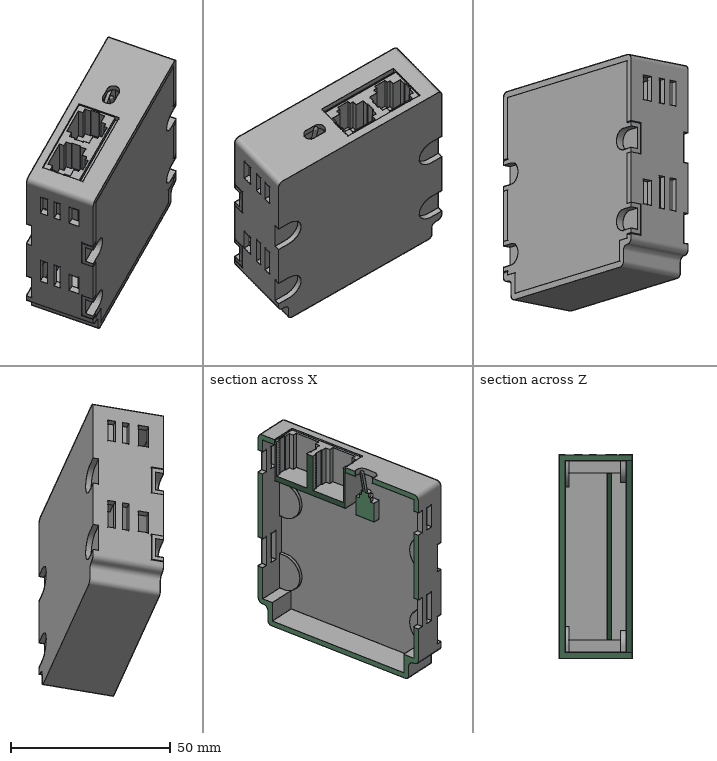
import cadquery as cq
import math


WIDTH = 23.0
LENGTH = 64.1
HEIGHT = 68.3
WALL = 2.0
TOP_RADIUS = 1.85
FOOT_HEIGHT = 6.7
FOOT_INSET = 3.85
FOOT_RADIUS = 1.6
STEP_OUTER_RADIUS = 1.8
STEP_INNER_RADIUS = 1.65
HALF_LENGTH = LENGTH / 2
FOOT_HALF_LENGTH = HALF_LENGTH - FOOT_INSET

GRIP_HEIGHT = 9.85
GRIP_REACH = 8.8
GRIP_DEPTH = 1.8
GRIP_BACKING = 1.3
LOWER_GRIP_Z = 15.0
GRIP_PITCH = 26.2
UPPER_GRIP_Z = LOWER_GRIP_Z + GRIP_PITCH
GRIPS = [(end, z) for end in (-1, 1) for z in (LOWER_GRIP_Z, UPPER_GRIP_Z)]

TAB_THICKNESS = 3.8
TAB_CLEARANCE = 0.3
TAB_POCKET_HEIGHT = 6.9
TAB_POCKET_DEPTH = 2.6
COVER_THICKNESS = WALL
TAB_X = WIDTH - TAB_THICKNESS
COVER_X = WIDTH - COVER_THICKNESS

LEFT_VENT = (4.8, 7.25)
MIDDLE_VENT = (9.6, 11.65)
RIGHT_VENT = (14.75, 18.1)
UPPER_VENT_Z = (54.05, 62.05)
LOWER_VENT_TOP = 30.4
LOWER_RIGHT_VENT_Z = (20.3, 28.3)
LOWER_VENT_Z = (LOWER_GRIP_Z + GRIP_HEIGHT / 2, LOWER_VENT_TOP)
VENTS = [(span, UPPER_VENT_Z) for span in (LEFT_VENT, MIDDLE_VENT, RIGHT_VENT)]
VENTS += [(LEFT_VENT, LOWER_VENT_Z), (MIDDLE_VENT, LOWER_VENT_Z), (RIGHT_VENT, LOWER_RIGHT_VENT_Z)]

BOARD_X = 15.1
BOARD_THICKNESS = 1.4
BOARD_TOP = HEIGHT - WALL
BOARD_HALF_LENGTH = FOOT_HALF_LENGTH - WALL
JACK_X = 2.6
JACK_LENGTH = 28.15
JACK_Y = -11.3
JACK_SPAN_Y = (JACK_Y - JACK_LENGTH / 2, JACK_Y + JACK_LENGTH / 2)
JACK_HEIGHT = 14.5
JACK_RECESS = 0.55
JACK_TOP = HEIGHT - JACK_RECESS
PORT_PITCH = 14.55
PORT_DEPTH = 12.4
PORT_STEPS = [
    (3.45, 5.0, 4.4),
    (5.0, 11.8, 6.0),
    (6.95, 9.85, 6.35),
    (11.8, 13.4, 3.2),
    (13.4, 14.4, 2.0),
]

SWITCH_SLOT_X = 10.35
SWITCH_SLOT_Y = 10.2
SWITCH_SLOT_LENGTH = 7.45
SWITCH_SLOT_WIDTH = 4.0
SWITCH_BODY_X = 8.95
SWITCH_BODY_LENGTH = 7.25
SWITCH_BODY_Z = (52.4, 59.3)
LEVER_X = 11.0
LEVER_Y = 10.7
BUSHING_RADIUS = 2.3
BUSHING_TOP = 60.7
COLLAR_RADIUS = 1.6
COLLAR_TOP = 62.05
LEVER_RADIUS = 0.7
LEVER_LEAN = 1.6
LEVER_TIP_TOP = 68.95


def block(x_span, y_span, z_span):
    """Box between the given limits."""
    size = [high - low for low, high in (x_span, y_span, z_span)]
    corner = (x_span[0], y_span[0], z_span[0])
    return cq.Workplane("XY").box(*size, centered=False).translate(corner)


def side_profile(inset, x_start, thickness):
    """Stepped side outline of the enclosure, moved inward by inset and extruded along +X."""
    half = HALF_LENGTH - inset
    foot_half = FOOT_HALF_LENGTH - inset
    step = FOOT_HEIGHT + inset
    top = HEIGHT - inset
    points = [
        (-foot_half, inset),
        (foot_half, inset),
        (foot_half, step),
        (half, step),
        (half, top),
        (-half, top),
        (-half, step),
        (-foot_half, step),
    ]
    return cq.Workplane("YZ", origin=(x_start, 0, 0)).polyline(points).close().extrude(thickness)


def edges_at(body, y, z):
    """Select the two edges that run along X at the given height, one at each end."""
    near_edge = cq.selectors.NearestToPointSelector((WIDTH / 2, -y, z))
    far_edge = cq.selectors.NearestToPointSelector((WIDTH / 2, y, z))
    return body.edges(near_edge + far_edge)


def grip_outline(end, z, height, reach, x_start, thickness):
    """Block from one end face inward, with a round inner end; end is -1 or 1."""
    radius = height / 2
    outer = end * HALF_LENGTH
    arc_start = end * (HALF_LENGTH - reach + radius)
    arc_middle = end * (HALF_LENGTH - reach)
    return (
        cq.Workplane("YZ", origin=(x_start, 0, 0))
        .moveTo(outer, z - radius)
        .lineTo(arc_start, z - radius)
        .threePointArc((arc_middle, z), (arc_start, z + radius))
        .lineTo(outer, z + radius)
        .close()
        .extrude(thickness)
    )


def rounded_enclosure():
    """Solid enclosure with its outer, step and foot edges rounded."""
    body = side_profile(0, 0, WIDTH)
    body = edges_at(body, HALF_LENGTH, HEIGHT).fillet(TOP_RADIUS)
    body = edges_at(body, HALF_LENGTH, FOOT_HEIGHT).fillet(STEP_OUTER_RADIUS)
    body = edges_at(body, FOOT_HALF_LENGTH, FOOT_HEIGHT).fillet(STEP_INNER_RADIUS)
    return edges_at(body, FOOT_HALF_LENGTH, 0).fillet(FOOT_RADIUS)


def tab_notch(end, z):
    """Opening in an end wall for a cover tab, with clearance on the side away from mid-height."""
    low = z - GRIP_HEIGHT / 2
    high = z + GRIP_HEIGHT / 2
    if z == UPPER_GRIP_Z:
        high += TAB_CLEARANCE
    else:
        low -= TAB_CLEARANCE
    y_span = sorted((end * HALF_LENGTH, end * (HALF_LENGTH - WALL)))
    return block((TAB_X - TAB_CLEARANCE, WIDTH), y_span, (low, high))


def make_housing():
    """Shell open toward +X, with backed grip pockets, tab notches, vents and openings in the top."""
    pad_height = GRIP_HEIGHT + 2 * GRIP_BACKING
    pad_reach = GRIP_REACH + GRIP_BACKING
    pad_thickness = GRIP_DEPTH + GRIP_BACKING
    body = rounded_enclosure().cut(side_profile(WALL, WALL, WIDTH - WALL))
    for end, z in GRIPS:
        body = body.union(grip_outline(end, z, pad_height, pad_reach, 0, pad_thickness))
    for end, z in GRIPS:
        body = body.cut(grip_outline(end, z, GRIP_HEIGHT, GRIP_REACH, 0, GRIP_DEPTH))
        body = body.cut(tab_notch(end, z))
    for x_span, z_span in VENTS:
        body = body.cut(block(x_span, (-HALF_LENGTH, HALF_LENGTH), z_span))
    body = body.cut(block((JACK_X, BOARD_X + BOARD_THICKNESS), JACK_SPAN_Y, (HEIGHT - WALL, HEIGHT)))
    switch_slot = (
        cq.Workplane("XY", origin=(SWITCH_SLOT_X, SWITCH_SLOT_Y, HEIGHT - WALL))
        .slot2D(SWITCH_SLOT_LENGTH, SWITCH_SLOT_WIDTH, 90)
        .extrude(WALL)
    )
    return body.cut(switch_slot)


def make_cover():
    """Plate that closes the +X side, with four tabs that carry grip pockets."""
    plate = side_profile(WALL, COVER_X, COVER_THICKNESS)
    for end, z in GRIPS:
        plate = plate.union(grip_outline(end, z, GRIP_HEIGHT, GRIP_REACH, TAB_X, TAB_THICKNESS))
    rim = (GRIP_HEIGHT - TAB_POCKET_HEIGHT) / 2
    pocket_reach = GRIP_REACH - rim
    pocket_x = WIDTH - TAB_POCKET_DEPTH
    for end, z in GRIPS:
        plate = plate.cut(grip_outline(end, z, TAB_POCKET_HEIGHT, pocket_reach, pocket_x, TAB_POCKET_DEPTH))
    return plate


def make_jack_board():
    """Upright circuit board with the double jack block on its -X face."""
    board_x = (BOARD_X, BOARD_X + BOARD_THICKNESS)
    body = block(board_x, (-BOARD_HALF_LENGTH, BOARD_HALF_LENGTH), (WALL, BOARD_TOP))
    body = body.union(block((JACK_X, BOARD_X), JACK_SPAN_Y, (JACK_TOP - JACK_HEIGHT, JACK_TOP)))
    for side in (-1, 1):
        port_y = JACK_Y + side * PORT_PITCH / 2
        for left, right, half_width in PORT_STEPS:
            y_span = (port_y - half_width, port_y + half_width)
            body = body.cut(block((left, right), y_span, (JACK_TOP - PORT_DEPTH, JACK_TOP)))
    return body


def make_switch():
    """Toggle switch: body against the board, bushing, collar and a round-tipped lever leaning to -Y."""
    half = SWITCH_BODY_LENGTH / 2
    base_top = SWITCH_BODY_Z[1]
    body = block((SWITCH_BODY_X, BOARD_X), (LEVER_Y - half, LEVER_Y + half), SWITCH_BODY_Z)
    seat = cq.Workplane("XY", origin=(LEVER_X, LEVER_Y, base_top))
    body = body.union(seat.circle(BUSHING_RADIUS).extrude(BUSHING_TOP - base_top))
    body = body.union(seat.circle(COLLAR_RADIUS).extrude(COLLAR_TOP - base_top))
    rise = LEVER_TIP_TOP - LEVER_RADIUS - BUSHING_TOP
    pivot = cq.Vector(LEVER_X, LEVER_Y, BUSHING_TOP)
    direction = cq.Vector(0, -LEVER_LEAN, rise)
    lever = cq.Solid.makeCylinder(LEVER_RADIUS, math.hypot(LEVER_LEAN, rise), pivot, direction)
    tip = cq.Workplane("XY", origin=(pivot + direction).toTuple()).sphere(LEVER_RADIUS)
    return body.union(cq.Workplane(lever)).union(tip)


housing = make_housing()
cover = make_cover()
jack_board = make_jack_board()
switch = make_switch()

result = cq.Compound.makeCompound([housing.val(), cover.val(), jack_board.val(), switch.val()])